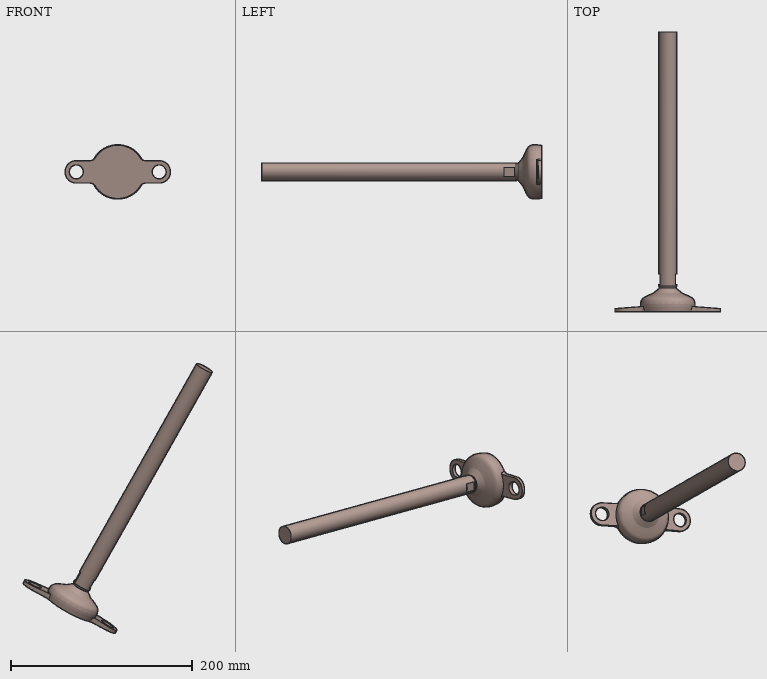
import cadquery as cq

total_length = 308.0

foot_bottom_radius = 29.3
foot_rim_diameter = 60.0
foot_rim_radius = foot_rim_diameter / 2
rim_start = 6.0
rim_end = 8.5
shoulder_radius = 26.8
shoulder_height = 15.5
waist_radius = 16.0
waist_height = 20.5
neck_radius = 9.2
neck_height = 26.2
flank_direction = (-2.0, 1.0)

ear_span = 116.0
ear_width = 25.0
ear_tip_thickness = 3.7
ear_hole_diameter = 15.0
ear_corner_fillet = 6.8

rod_diameter = 20.0
rod_radius = rod_diameter / 2
rod_chamfer_height = 2.2
flat_start = 30.0
flat_length = 11.7
across_flats = 17.5


def revolve_about_rod_axis(profile):
    return profile.close().revolve(360, (0, 0, 0), (0, 1, 0))


def make_dome():
    profile = (
        cq.Workplane("XY")
        .lineTo(foot_bottom_radius, 0)
        .lineTo(foot_rim_radius, rim_start)
        .lineTo(foot_rim_radius, rim_end)
        .spline(
            [(shoulder_radius, shoulder_height), (waist_radius, waist_height)],
            tangents=[(0, 1), flank_direction],
            includeCurrent=True,
        )
        .lineTo(neck_radius, neck_height)
        .lineTo(0, neck_height)
    )
    return revolve_about_rod_axis(profile)


def make_ears():
    hole_spacing = ear_span - ear_width
    disc = cq.Workplane("XZ").circle(foot_bottom_radius).extrude(-rim_start)
    bar = cq.Workplane("XZ").slot2D(ear_span, ear_width).extrude(-rim_start)
    corner_x = (foot_bottom_radius**2 - (ear_width / 2) ** 2) ** 0.5
    plate = disc.union(bar)
    for x in (-corner_x, corner_x):
        for z in (-ear_width / 2, ear_width / 2):
            corner_edge = cq.selectors.NearestToPointSelector((x, rim_start / 2, z))
            plate = plate.edges("|Y").edges(corner_edge).fillet(ear_corner_fillet)

    half_span = ear_span / 2
    side_outline = (
        cq.Workplane("XY")
        .moveTo(-half_span, 0)
        .lineTo(half_span, 0)
        .lineTo(half_span, ear_tip_thickness)
        .lineTo(foot_rim_radius, rim_start)
        .lineTo(-foot_rim_radius, rim_start)
        .lineTo(-half_span, ear_tip_thickness)
        .close()
        .extrude(foot_rim_radius, both=True)
    )
    holes = (
        cq.Workplane("XZ")
        .pushPoints([(-hole_spacing / 2, 0), (hole_spacing / 2, 0)])
        .circle(ear_hole_diameter / 2)
        .extrude(-rim_start)
    )
    return plate.intersect(side_outline).cut(holes)


def make_foot():
    return make_dome().union(make_ears())


def make_rod():
    profile = (
        cq.Workplane("XY")
        .moveTo(0, neck_height)
        .lineTo(neck_radius, neck_height)
        .lineTo(rod_radius, neck_height + rod_chamfer_height)
        .lineTo(rod_radius, total_length)
        .lineTo(0, total_length)
    )
    rod = revolve_about_rod_axis(profile)
    cutter_offset = (across_flats + rod_radius) / 2
    flat_centre = flat_start + flat_length / 2
    for x in (-cutter_offset, cutter_offset):
        flat_cutter = cq.Workplane("XY").box(rod_radius, flat_length, rod_diameter)
        rod = rod.cut(flat_cutter.translate((x, flat_centre, 0)))
    return rod


foot = make_foot()
rod = make_rod()
result = cq.Compound.makeCompound([foot.val(), rod.val()])